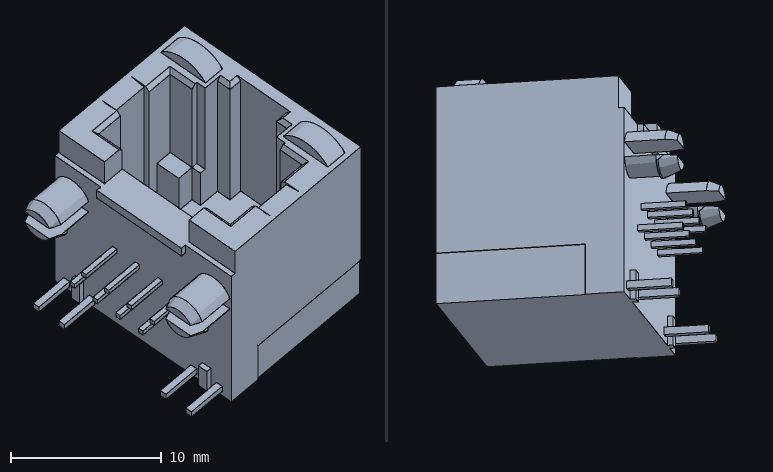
import cadquery as cq
import math


width = 15.8
total_length = 16.31
total_height = 15.89
peg_length = 3.5
depth = total_length - peg_length
height = 14.94

setback = 0.38
step_z = 12.72
lip_width = 7.58
lip_height = 0.78
standoff = 0.39

cavity_floor_z = 3.45
cavity_half = 5.9
cavity_front_y = 2.12
cavity_back_y = 9.18
latch_half = 3.2
latch_back_y = 10.86
tip_half = 2.07
tip_back_y = 11.9
mouth_bevel = 0.31

ledge_z = 6.72
ledge_inner_x = 3.95
ledge_front_y = 7.88
niche_back_y = 9.65

groove_half = 6.36
groove_front_y = 4.25
groove_back_y = 7.11
ramp_outer_x = 7.49
ramp_drop = 0.18

side_recess_depth = 0.1
side_recess_height = 3.45
side_recess_front_y = 2.65

dome_x = 5.48
dome_width = 4.0
dome_front_y = 10.0
dome_back_y = 11.68

peg_x = 6.33
peg_z = 9.87
peg_radius = 1.53
peg_tip_radius = 1.22
peg_taper_start = 2.74
peg_slot = 1.03
barb_radius = 1.68
barb_start = 2.14
barb_land = 0.13
peg_half_width = math.sqrt(peg_radius**2 - (peg_slot / 2) ** 2)

pin_length = 3.03
contact_count = 8
contact_span = 7.13
contact_pitch = contact_span / (contact_count - 1)
contact_size = 0.39
contact_row_z = (5.58, 7.34)
rib_x = 5.7
rib_width = 0.75
rib_height = 2.0
led_pin_offset = 1.14
led_pin_size = 0.52
led_pin_z = 0.72


def block(x0, x1, y0, y1, z0, z1):
    """Box between two opposite corners."""
    return cq.Workplane("XY").box(x1 - x0, y1 - y0, z1 - z0, centered=False).translate((x0, y0, z0))


def mirrored(solid):
    """Solid joined with its mirror image across X = 0."""
    return solid.union(solid.mirror("YZ"))


def pocket(half, front_y, back_y, side_bevel=0, front_bevel=0, back_bevel=0):
    """Cavity volume from the floor to the top, with the chosen edges flared at the mouth."""
    straight = block(-half, half, front_y, back_y, cavity_floor_z, height)
    flare = (
        cq.Workplane("XY", origin=(0, (front_y + back_y) / 2, height - mouth_bevel))
        .rect(2 * half, back_y - front_y)
        .workplane(offset=mouth_bevel)
        .center(0, (back_bevel - front_bevel) / 2)
        .rect(2 * (half + side_bevel), back_y - front_y + front_bevel + back_bevel)
        .loft(ruled=True)
    )
    return straight.union(flare)


def plug_cavity():
    main = pocket(cavity_half, cavity_front_y, cavity_back_y, mouth_bevel, mouth_bevel, mouth_bevel)
    latch = pocket(latch_half, cavity_front_y, latch_back_y, back_bevel=mouth_bevel)
    tip = pocket(tip_half, cavity_front_y, tip_back_y, side_bevel=mouth_bevel)
    ledge = block(ledge_inner_x, cavity_half, ledge_front_y, cavity_back_y, cavity_floor_z, ledge_z)
    niche = block(0, ledge_inner_x, ledge_front_y, niche_back_y, ledge_z, height)
    groove = (
        cq.Workplane("XZ", origin=(0, groove_back_y, 0))
        .moveTo(0, cavity_floor_z)
        .lineTo(groove_half, cavity_floor_z)
        .lineTo(groove_half, height - ramp_drop)
        .lineTo(ramp_outer_x, height)
        .lineTo(0, height)
        .close()
        .extrude(groove_back_y - groove_front_y)
    )
    cavity = main.union(latch).union(tip).cut(mirrored(ledge))
    return cavity.union(mirrored(niche)).union(mirrored(groove))


def housing():
    half = width / 2
    body = block(-half, half, 0, depth, 0, height)
    body = body.cut(block(-half, half, 0, setback, step_z, height))
    body = body.cut(plug_cavity())
    body = body.cut(block(-lip_width / 2, lip_width / 2, 0, cavity_front_y, step_z, height))
    recess = block(half - side_recess_depth, half, side_recess_front_y, depth, 0, side_recess_height)
    return body.cut(mirrored(recess))


def lip():
    return block(-lip_width / 2, lip_width / 2, -standoff, 0, step_z - lip_height, step_z)


def dome():
    half = dome_width / 2
    return (
        cq.Workplane("XZ", origin=(dome_x, dome_back_y, height))
        .moveTo(-half, 0)
        .threePointArc((0, total_height - height), (half, 0))
        .close()
        .extrude(dome_back_y - dome_front_y)
    )


def turned_peg(profile):
    """Solid of revolution from (radius, distance from the board face) points, pointing to -Y."""
    points = [(radius, -distance) for radius, distance in profile]
    peg = cq.Workplane("XY").polyline(points).close().revolve(360, (0, 0, 0), (0, 1, 0))
    return peg.translate((peg_x, 0, peg_z))


def split_peg():
    """Plain upper half and barbed lower half, separated by a flat slot."""
    plain = turned_peg([
        (0, 0),
        (peg_radius, 0),
        (peg_radius, peg_taper_start),
        (peg_tip_radius, peg_length),
        (0, peg_length),
    ])
    barbed = turned_peg([
        (0, 0),
        (peg_radius, 0),
        (peg_radius, barb_start),
        (barb_radius, barb_start),
        (barb_radius, barb_start + barb_land),
        (peg_tip_radius, peg_length),
        (0, peg_length),
    ])
    left = peg_x - peg_half_width
    right = peg_x + peg_half_width
    upper_space = block(left, right, -peg_length, 0, peg_z + peg_slot / 2, peg_z + barb_radius)
    lower_space = block(left, right, -peg_length, 0, peg_z - barb_radius, peg_z - peg_slot / 2)
    return plain.intersect(upper_space).union(barbed.intersect(lower_space))


def pin(x, z, size):
    return block(x - size / 2, x + size / 2, -pin_length, 0, z - size / 2, z + size / 2)


def rib():
    return block(rib_x - rib_width / 2, rib_x + rib_width / 2, -standoff, 0, 0, rib_height)


result = housing().union(lip())
for feature in (dome(), split_peg(), rib()):
    result = result.union(mirrored(feature))

for index in range(contact_count):
    contact_x = index * contact_pitch - contact_span / 2
    result = result.union(pin(contact_x, contact_row_z[index % 2], contact_size))

for side in (-1, 1):
    led_pin = pin(rib_x + side * led_pin_offset, led_pin_z, led_pin_size)
    result = result.union(mirrored(led_pin))